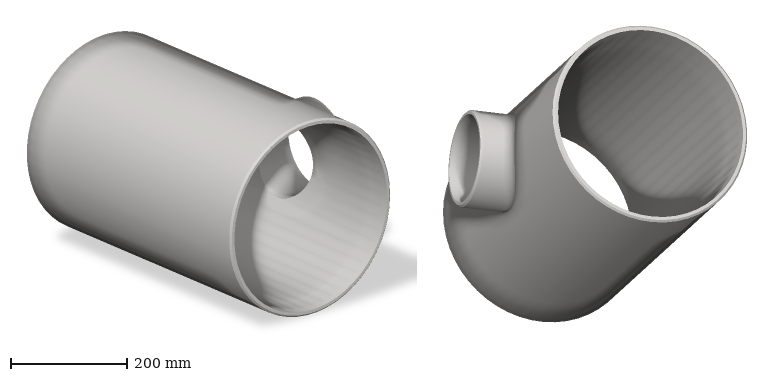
import cadquery as cq

run_length = 559.0
run_diameter = 355.5
run_wall = 9.0

branch_diameter = 168.0
branch_wall = 7.0
branch_reach = 238.5

end_bevel = 3.5


def beveled_cylinder(plane, diameter, length, beveled_faces):
    """Solid cylinder along the plane normal with its chosen end rims beveled."""
    cylinder = cq.Workplane(plane).circle(diameter / 2).extrude(length)
    return cylinder.faces(beveled_faces).chamfer(end_bevel)


run_plane = cq.Plane(origin=(-run_length / 2, 0, 0), xDir=(0, 1, 0), normal=(1, 0, 0))
branch_plane = cq.Plane(origin=(0, 0, 0), xDir=(1, 0, 0), normal=(0, 1, 0))

run_body = beveled_cylinder(run_plane, run_diameter, run_length, "<X or >X")
branch_body = beveled_cylinder(branch_plane, branch_diameter, branch_reach, ">Y")

run_bore = cq.Workplane(run_plane).circle(run_diameter / 2 - run_wall).extrude(run_length)
branch_bore = cq.Workplane(branch_plane).circle(branch_diameter / 2 - branch_wall).extrude(branch_reach)

result = run_body.union(branch_body).cut(run_bore).cut(branch_bore)